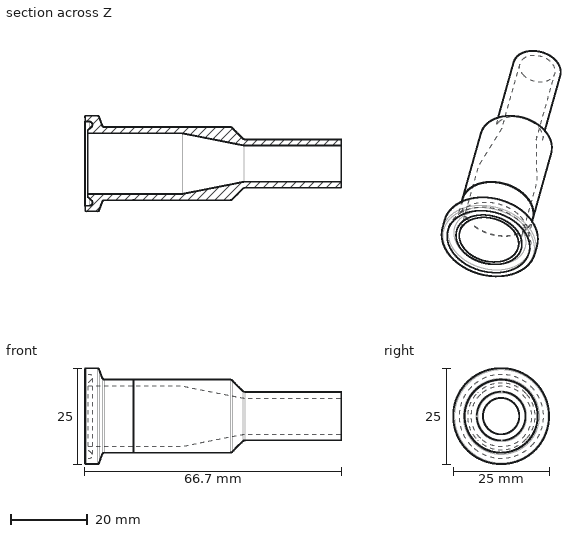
import cadquery as cq
import math

length = 66.7
flange_radius = 25.0 / 2
body_radius = 19.1 / 2
tail_radius = 12.7 / 2
body_bore_radius = 15.75 / 2
tail_bore_radius = 9.4 / 2

flange_edge_fillet = 0.4
flange_back_angle = 70.0
flange_corner_x = 3.6
flange_back_fillet = 0.55
flange_root_fillet = 0.55

recess_radius = 21.9 / 2
recess_depth = 1.15
groove_arc_radius = 0.8
groove_wall_radius = 9.55
lip_radius = 8.75

shoulder_x = 38.1
shoulder_run = body_radius - tail_radius
shoulder_body_fillet = 0.6
shoulder_tail_fillet = 0.8
tail_edge_fillet = 0.2

bore_taper_length = 16.0

joint_x = 12.55
joint_width = 0.15
joint_depth = 0.1


def revolve_about_axis(profile):
    """Turn an (x, radius) profile about the X axis."""
    return profile.close().revolve(360, (0, 0, 0), (1, 0, 0))


def fillet_ring(solid, x, radius, size):
    """Round the circular edge found at the given station and radius."""
    reach = 0.01
    box = cq.selectors.BoxSelector(
        (x - reach, -radius - reach, -radius - reach),
        (x + reach, radius + reach, radius + reach),
        boundingbox=True,
    )
    return solid.edges(box).edges("%CIRCLE").fillet(size)


def make_outer():
    """Flange, body, shoulder and tail as one solid of revolution."""
    back_run = (flange_radius - body_radius) / math.tan(math.radians(flange_back_angle))
    root_x = flange_corner_x + back_run
    shoulder_end_x = shoulder_x + shoulder_run
    solid = revolve_about_axis(
        cq.Workplane("XY")
        .moveTo(0, 0)
        .lineTo(0, flange_radius)
        .lineTo(flange_corner_x, flange_radius)
        .lineTo(root_x, body_radius)
        .lineTo(shoulder_x, body_radius)
        .lineTo(shoulder_end_x, tail_radius)
        .lineTo(length, tail_radius)
        .lineTo(length, 0)
    )
    rounded_rings = [
        (0, flange_radius, flange_edge_fillet),
        (flange_corner_x, flange_radius, flange_back_fillet),
        (root_x, body_radius, flange_root_fillet),
        (shoulder_x, body_radius, shoulder_body_fillet),
        (shoulder_end_x, tail_radius, shoulder_tail_fillet),
        (length, tail_radius, tail_edge_fillet),
    ]
    for x, radius, size in rounded_rings:
        solid = fillet_ring(solid, x, radius, size)
    return solid


def make_bore():
    """Through bore with a slow taper that ends where the tail begins."""
    taper_end_x = shoulder_x + shoulder_run
    return revolve_about_axis(
        cq.Workplane("XY")
        .moveTo(0, 0)
        .lineTo(0, body_bore_radius)
        .lineTo(taper_end_x - bore_taper_length, body_bore_radius)
        .lineTo(taper_end_x, tail_bore_radius)
        .lineTo(length, tail_bore_radius)
        .lineTo(length, 0)
    )


def make_gasket_groove():
    """Recess in the flange face that ends in a round groove around a raised lip."""
    center_radius = recess_radius - groove_arc_radius
    wall_sine = (center_radius - groove_wall_radius) / groove_arc_radius
    wall_angle = math.asin(wall_sine)
    wall_x = recess_depth + groove_arc_radius * math.cos(wall_angle)
    lip_x = wall_x - (groove_wall_radius - lip_radius) * math.tan(wall_angle)
    return revolve_about_axis(
        cq.Workplane("XY")
        .moveTo(0, 0)
        .lineTo(0, recess_radius)
        .lineTo(recess_depth, recess_radius)
        .threePointArc((recess_depth + groove_arc_radius, center_radius), (wall_x, groove_wall_radius))
        .lineTo(lip_x, lip_radius)
        .lineTo(lip_x, 0)
    )


def make_joint_line():
    """Thin ring that scores the body surface."""
    return (
        cq.Workplane("YZ", origin=(joint_x, 0, 0))
        .circle(body_radius + joint_depth)
        .circle(body_radius - joint_depth)
        .extrude(joint_width)
    )


result = make_outer().cut(make_bore()).cut(make_gasket_groove()).cut(make_joint_line())